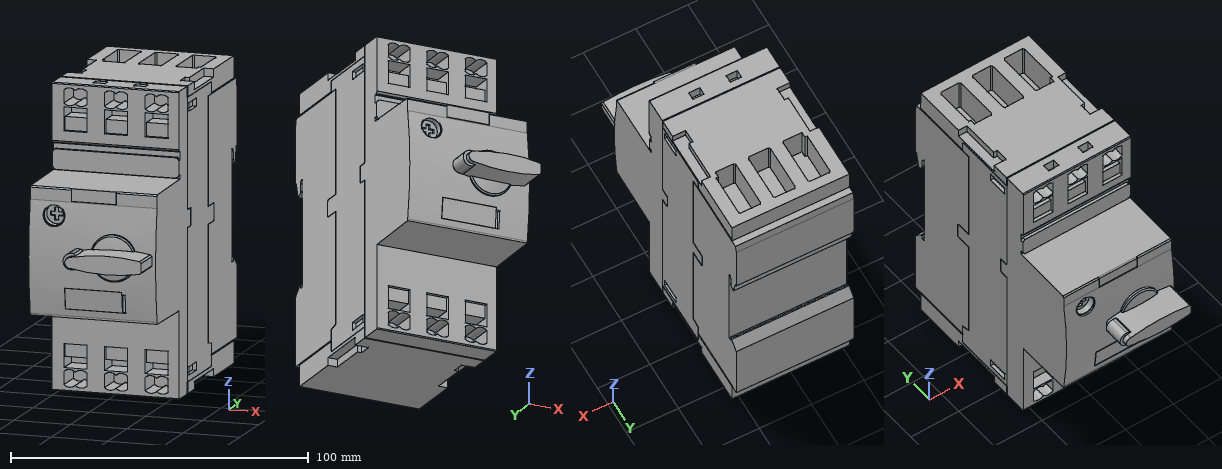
import cadquery as cq
import math


WIDTH = 45.0
HEIGHT = 106.0
TOP = HEIGHT / 2
SIDE = WIDTH / 2
BODY_BACK = 3.1
BODY_FRONT = 61.2
EDGE_CHAMFER = 0.36
SEAM_WIDTH = 0.3
SEAM_DEPTH = 0.15
COVER_SEAM = 51.9
RAIL_BLOCK_TOP = 44.9
RAIL_BLOCK_BOTTOM = -44.8
BLOCK_TAPER_HEIGHT = 2.9
BLOCK_TAPER_DEPTH = 0.6
CHANNEL_TOP = 21.3
CHANNEL_BOTTOM = -17.6
CHANNEL_FLOOR = 5.05
SPRING_HOOK_ROOT = 0.6
SPRING_HOOK_TIP_BACK = 1.9
SPRING_HOOK_TIP_FRONT = 2.4
SPRING_HOOK_TIP = 15.7
SPRING_HOOK_BARB = 4.15
SPRING_HOOK_BARB_LOW = 17.1
SPRING_HOOK_BARB_HIGH = 17.5
SPRING_HOOK_INNER = 3.8
SPRING_HOOK_RELIEF = 20.2
SPRING_HOOK_RELIEF_END = 4.5
FIXED_HOOK_TIP_BACK = 3.3
FIXED_HOOK_TIP_FRONT = 3.8
FIXED_HOOK_ROOT = 4.0
FIXED_HOOK_TIP = -16.3
FIXED_HOOK_BASE = -19.4
CUT_MARGIN = 1.0

GROOVE_TOP = 33.05
GROOVE_LIP = 0.7
GROOVE_LIP_LOW = 32.1
GROOVE_FLOOR = 59.75
PLATE_TOP = 30.1
PLATE_BOTTOM = 23.1
PLATE_FRONT = 60.9
PLATE_CORNER = 0.9

NOSE_TOP = 22.7
NOSE_BOTTOM = -22.5
NOSE_DRAFT = 0.35
NOSE_FRONT = 84.05
NOSE_BULGE = 1.6
NOSE_CHAMFER = 0.5
BAND_BOTTOM = 17.7
CURVE_BOTTOM = -21.5
BADGE_X = 0.15
BADGE_WIDTH = 15.9
BADGE_BOTTOM = 18.0
BADGE_FRONT = NOSE_FRONT + 0.25

SCREW_X = -13.8
SCREW_Z = 12.9
SCREW_RADIUS = 3.8
SCREW_RIM = 0.3
SCREW_FLOOR = 81.9
CROSS_LENGTH = 4.4
CROSS_WIDTH = 1.4
CROSS_DEPTH = 1.0

LABEL_LEFT = -9.85
LABEL_RIGHT = 10.3
LABEL_TOP = -11.8
LABEL_BOTTOM = -19.1
LABEL_RECESS = 0.2
TAB_WIDTH = 1.25
TAB_TOP = -12.7
TAB_FLOOR = 83.5

KNOB_X = 7.65
KNOB_Z = -0.15
KNOB_RADIUS = 8.1
KNOB_BEVEL = 0.5
KNOB_SHOULDER = 86.1
KNOB_CROWN = 87.5
HANDLE_TIP = 96.9
HANDLE_ROOT = 85.0
HANDLE_NOSE_X = -4.0
HANDLE_NOSE_RADIUS = 1.9
HANDLE_END_X = 21.2
HANDLE_END_HALF = 2.2
HANDLE_CORNER = 0.6
HANDLE_WIDEST_X = 9.5
HANDLE_HALF_WIDTH = 3.2
POST_X = -4.3
POST_RADIUS = 2.8
POST_FLAT = 1.0
POST_TAPER = 1.0
POST_BACK = 87.2
POST_FRONT = 95.0

TERMINAL_PITCH = 14.4
TERMINAL_X = 0.25
TERMINAL_WIDTH = 8.1
WINDOW_OUTER = 44.85
WINDOW_STEP = 41.3
WINDOW_INNER = 36.6
WINDOW_RECESS = 1.3
WINDOW_DEPTH = 8.0
ENTRY_INNER = 45.4
ENTRY_OUTER = 51.5
ENTRY_BOW = 0.8
ENTRY_DEPTH = 10.0

SLOT_PITCH = 13.25
SLOT_X = 0.15
SLOT_WIDTH = 8.4
SLOT_BACK = 6.9
SLOT_FRONT = 25.3
SLOT_DEPTH = 12.0
SLOT_CORNER = 0.5
SLOT_KEY_WIDTH = 0.9
SLOT_KEY_LENGTH = 2.1
POCKET_CENTRES = (-7.05, 7.25)
POCKET_WIDTH = 4.2
POCKET_BACK = 54.5
POCKET_FRONT = 57.4
POCKET_DEPTH = 4.0

LATCH_BACK = 24.5
LATCH_STEP = 39.6
LATCH_FRONT = 44.7
LATCH_NARROW = 3.5
LATCH_WIDE = 5.0
LATCH_HEIGHT = 2.8
VENT_BACK = 42.5
VENT_FRONT = 50.4
VENT_INNER = 44.0
VENT_OUTER = 46.8
VENT_DEPTH = 1.5
PANEL_RECESS = 0.1
PANEL_TOP = 49.1
PANEL_BOTTOM = -48.9
PANEL_BACK_OUTER = 26.7
PANEL_BACK = 30.2
PANEL_CHAMFER = 0.5
PANEL_SLOPE_HIGH = -40.1
PANEL_SLOPE_LOW = -40.9
PANEL_TONGUE_BACK = 24.0
PANEL_TONGUE_TOP = 6.9
PANEL_TONGUE_BOTTOM = 0.7
COVER_TONGUE_BACK = 48.4
COVER_TONGUE_TOP = 10.4
COVER_TONGUE_BOTTOM = 4.2


def box(x0, x1, depth0, depth1, z0, z1):
    """Box between two X, two depth and two Z limits."""
    size_x = x1 - x0
    size_y = depth1 - depth0
    size_z = z1 - z0
    corner = cq.Vector(x0, -depth1, z0)
    return cq.Workplane(cq.Solid.makeBox(size_x, size_y, size_z, corner))


def side_profile(points, x0=-SIDE, x1=SIDE):
    """Extrude a (depth, z) polygon from x0 to x1."""
    outline = [(-depth, z) for depth, z in points]
    return cq.Workplane("YZ", origin=(x0, 0, 0)).polyline(outline).close().extrude(x1 - x0)


def front_plane(depth):
    """Sketch plane facing the front, so that extruding goes toward the front."""
    return cq.Workplane("XZ", origin=(0, -depth, 0))


def mirrored_sides(tool):
    return tool.union(tool.mirror("YZ"))


def mirrored_ends(tool):
    return tool.union(tool.mirror("XY"))


def nose_surface(z):
    """Depth of the curved nose front at height z."""
    half_span = (BAND_BOTTOM - CURVE_BOTTOM) / 2
    middle = (BAND_BOTTOM + CURVE_BOTTOM) / 2
    radius = (half_span ** 2 + NOSE_BULGE ** 2) / (2 * NOSE_BULGE)
    centre = NOSE_FRONT + NOSE_BULGE - radius
    return centre + math.sqrt(radius ** 2 - (z - middle) ** 2)


def make_body():
    lip = BODY_FRONT - GROOVE_LIP
    lip_high = GROOVE_TOP - GROOVE_LIP
    return side_profile([
        (BODY_BACK, -TOP),
        (BODY_FRONT - EDGE_CHAMFER, -TOP),
        (BODY_FRONT, -TOP + EDGE_CHAMFER),
        (BODY_FRONT, NOSE_BOTTOM),
        (GROOVE_FLOOR, NOSE_BOTTOM),
        (GROOVE_FLOOR, GROOVE_LIP_LOW),
        (lip, GROOVE_LIP_LOW),
        (lip, lip_high),
        (BODY_FRONT, GROOVE_TOP),
        (BODY_FRONT, TOP - EDGE_CHAMFER),
        (BODY_FRONT - EDGE_CHAMFER, TOP),
        (BODY_BACK, TOP),
    ])


def make_rail_block():
    return side_profile([
        (PANEL_BACK, RAIL_BLOCK_BOTTOM),
        (0, RAIL_BLOCK_BOTTOM),
        (0, RAIL_BLOCK_TOP - BLOCK_TAPER_HEIGHT),
        (BLOCK_TAPER_DEPTH, RAIL_BLOCK_TOP),
        (PANEL_BACK, RAIL_BLOCK_TOP),
    ])


def rail_cutter():
    """Rail channel, leaving a slender spring hook above and a fixed slanted hook below."""
    return side_profile([
        (-CUT_MARGIN, CHANNEL_TOP),
        (SPRING_HOOK_ROOT, CHANNEL_TOP),
        (SPRING_HOOK_TIP_BACK, SPRING_HOOK_TIP),
        (SPRING_HOOK_TIP_FRONT, SPRING_HOOK_TIP),
        (SPRING_HOOK_BARB, SPRING_HOOK_BARB_LOW),
        (SPRING_HOOK_INNER, SPRING_HOOK_BARB_HIGH),
        (SPRING_HOOK_INNER, SPRING_HOOK_RELIEF),
        (SPRING_HOOK_RELIEF_END, CHANNEL_TOP),
        (CHANNEL_FLOOR, CHANNEL_TOP),
        (CHANNEL_FLOOR, CHANNEL_BOTTOM),
        (FIXED_HOOK_ROOT, CHANNEL_BOTTOM),
        (FIXED_HOOK_TIP_FRONT, FIXED_HOOK_TIP),
        (FIXED_HOOK_TIP_BACK, FIXED_HOOK_TIP),
        (0, FIXED_HOOK_BASE),
        (-CUT_MARGIN, FIXED_HOOK_BASE),
    ])


def make_plate():
    plate = box(-SIDE, SIDE, GROOVE_FLOOR - CUT_MARGIN, PLATE_FRONT, PLATE_BOTTOM, PLATE_TOP)
    return plate.edges("|Y").chamfer(PLATE_CORNER)


def make_nose():
    front_top = NOSE_TOP - NOSE_DRAFT
    front_bottom = NOSE_BOTTOM + NOSE_DRAFT
    curve_middle = (BAND_BOTTOM + CURVE_BOTTOM) / 2
    nose = (
        cq.Workplane("YZ", origin=(-SIDE, 0, 0))
        .moveTo(-COVER_SEAM, NOSE_BOTTOM)
        .lineTo(-COVER_SEAM, NOSE_TOP)
        .lineTo(-GROOVE_FLOOR, NOSE_TOP)
        .lineTo(-NOSE_FRONT + NOSE_CHAMFER, front_top)
        .lineTo(-NOSE_FRONT, front_top - NOSE_CHAMFER)
        .lineTo(-NOSE_FRONT, BAND_BOTTOM)
        .threePointArc((-NOSE_FRONT - NOSE_BULGE, curve_middle), (-NOSE_FRONT, CURVE_BOTTOM))
        .lineTo(-NOSE_FRONT, front_bottom)
        .lineTo(-BODY_FRONT, NOSE_BOTTOM)
        .close()
        .extrude(WIDTH)
    )
    badge_left = BADGE_X - BADGE_WIDTH / 2
    badge_right = BADGE_X + BADGE_WIDTH / 2
    badge = box(badge_left, badge_right, NOSE_FRONT - CUT_MARGIN, BADGE_FRONT, BADGE_BOTTOM, front_top)
    return nose.union(badge)


def screw_cutter():
    """Round well with a bevelled mouth and a cross slot in its floor."""
    mouth = nose_surface(SCREW_Z)
    well = front_plane(SCREW_FLOOR).center(SCREW_X, SCREW_Z)
    cutter = well.circle(SCREW_RADIUS - SCREW_RIM).extrude(mouth - SCREW_FLOOR + CUT_MARGIN)
    rim_plane = front_plane(mouth - SCREW_RIM).center(SCREW_X, SCREW_Z)
    cutter = cutter.union(rim_plane.circle(SCREW_RADIUS).extrude(CUT_MARGIN))
    slots = front_plane(SCREW_FLOOR - CROSS_DEPTH).center(SCREW_X, SCREW_Z)
    for length_x, length_z in ((CROSS_LENGTH, CROSS_WIDTH), (CROSS_WIDTH, CROSS_LENGTH)):
        cutter = cutter.union(slots.rect(length_x, length_z).extrude(CROSS_DEPTH + CUT_MARGIN))
    return cutter


def label_cutter():
    """Shallow window that follows the nose front, with a deeper finger gap on its right."""
    outside = NOSE_FRONT + NOSE_BULGE + CUT_MARGIN
    window = side_profile([
        (nose_surface(LABEL_TOP) - LABEL_RECESS, LABEL_TOP),
        (outside, LABEL_TOP),
        (outside, LABEL_BOTTOM),
        (nose_surface(LABEL_BOTTOM) - LABEL_RECESS, LABEL_BOTTOM),
    ], LABEL_LEFT, LABEL_RIGHT)
    gap = box(LABEL_RIGHT, LABEL_RIGHT + TAB_WIDTH, TAB_FLOOR, outside, LABEL_BOTTOM, TAB_TOP)
    return window.union(gap)


def make_knob():
    """Bevelled disc with a domed face; the dome rises three quarters of its height by half radius."""
    shoulder_radius = KNOB_RADIUS - KNOB_BEVEL
    bevel_top = KNOB_SHOULDER + KNOB_BEVEL
    crown_middle = bevel_top + (KNOB_CROWN - bevel_top) * 0.75
    return (
        cq.Workplane("XY", origin=(KNOB_X, 0, KNOB_Z))
        .moveTo(0, -NOSE_FRONT)
        .lineTo(KNOB_RADIUS, -NOSE_FRONT)
        .lineTo(KNOB_RADIUS, -KNOB_SHOULDER)
        .lineTo(shoulder_radius, -bevel_top)
        .threePointArc((shoulder_radius / 2, -crown_middle), (0, -KNOB_CROWN))
        .close()
        .revolve(360, (0, 0, 0), (0, 1, 0))
    )


def make_handle():
    end_inner = HANDLE_END_X - HANDLE_CORNER
    end_low = HANDLE_END_HALF - HANDLE_CORNER
    lever = (
        front_plane(HANDLE_ROOT)
        .center(0, KNOB_Z)
        .moveTo(HANDLE_NOSE_X, HANDLE_NOSE_RADIUS)
        .threePointArc((HANDLE_WIDEST_X, HANDLE_HALF_WIDTH), (end_inner, HANDLE_END_HALF))
        .lineTo(HANDLE_END_X, end_low)
        .lineTo(HANDLE_END_X, -end_low)
        .lineTo(end_inner, -HANDLE_END_HALF)
        .threePointArc((HANDLE_WIDEST_X, -HANDLE_HALF_WIDTH), (HANDLE_NOSE_X, -HANDLE_NOSE_RADIUS))
        .threePointArc((HANDLE_NOSE_X - HANDLE_NOSE_RADIUS, 0), (HANDLE_NOSE_X, HANDLE_NOSE_RADIUS))
        .close()
        .extrude(HANDLE_TIP - HANDLE_ROOT)
    )
    flat_end = POST_X + POST_FLAT
    post_end = flat_end + POST_TAPER
    post = (
        front_plane(POST_BACK)
        .center(0, KNOB_Z)
        .moveTo(post_end, HANDLE_NOSE_RADIUS)
        .lineTo(flat_end, POST_RADIUS)
        .lineTo(POST_X, POST_RADIUS)
        .threePointArc((POST_X - POST_RADIUS, 0), (POST_X, -POST_RADIUS))
        .lineTo(flat_end, -POST_RADIUS)
        .lineTo(post_end, -HANDLE_NOSE_RADIUS)
        .close()
        .extrude(POST_FRONT - POST_BACK)
    )
    return lever.union(post)


def terminal_cutter(x):
    """Stepped screwdriver window and a double-lobed wire entry, at the top and bottom ends."""
    left = x - TERMINAL_WIDTH / 2
    right = x + TERMINAL_WIDTH / 2
    outside = BODY_FRONT + CUT_MARGIN
    cutter = box(left, right, BODY_FRONT - WINDOW_RECESS, outside, WINDOW_INNER, WINDOW_OUTER)
    cutter = cutter.union(
        box(left, right, BODY_FRONT - WINDOW_DEPTH, outside, WINDOW_STEP, WINDOW_OUTER)
    )
    low = ENTRY_INNER + ENTRY_BOW
    high = ENTRY_OUTER - ENTRY_BOW
    quarter = TERMINAL_WIDTH / 4
    entry = (
        front_plane(BODY_FRONT - ENTRY_DEPTH)
        .moveTo(left, low)
        .threePointArc((x - quarter, ENTRY_INNER), (x, low))
        .threePointArc((x + quarter, ENTRY_INNER), (right, low))
        .lineTo(right, high)
        .threePointArc((x + quarter, ENTRY_OUTER), (x, high))
        .threePointArc((x - quarter, ENTRY_OUTER), (left, high))
        .close()
        .extrude(ENTRY_DEPTH + CUT_MARGIN)
    )
    return mirrored_ends(cutter.union(entry))


def top_slot_cutter(index):
    """Deep slot; the outer two have a stepped front corner on their outer side."""
    x = SLOT_X + index * SLOT_PITCH
    left = x - SLOT_WIDTH / 2
    right = x + SLOT_WIDTH / 2
    bottom = TOP - SLOT_DEPTH
    slot = box(left, right, SLOT_BACK, SLOT_FRONT, bottom, TOP + CUT_MARGIN)
    slot = slot.edges("|Z").chamfer(SLOT_CORNER)
    if index != 0:
        key_left = left if index < 0 else right - SLOT_KEY_WIDTH
        key_back = SLOT_FRONT - SLOT_KEY_LENGTH
        key = box(
            key_left, key_left + SLOT_KEY_WIDTH, key_back, SLOT_FRONT, bottom, TOP + CUT_MARGIN
        )
        slot = slot.cut(key)
    return slot


def top_pocket_cutter(x):
    half = POCKET_WIDTH / 2
    return box(x - half, x + half, POCKET_BACK, POCKET_FRONT, TOP - POCKET_DEPTH, TOP + CUT_MARGIN)


def latch_cutter():
    """L-shaped notches at the four side corners of the top and bottom."""
    floor = TOP - LATCH_HEIGHT
    outside = -SIDE - CUT_MARGIN
    above = TOP + CUT_MARGIN
    notch = box(outside, -SIDE + LATCH_NARROW, LATCH_BACK, LATCH_FRONT, floor, above)
    notch = notch.union(box(outside, -SIDE + LATCH_WIDE, LATCH_STEP, LATCH_FRONT, floor, above))
    return mirrored_sides(mirrored_ends(notch))


def vent_cutter():
    outside = -SIDE - CUT_MARGIN
    vent = box(outside, -SIDE + VENT_DEPTH, VENT_BACK, VENT_FRONT, VENT_INNER, VENT_OUTER)
    return mirrored_sides(mirrored_ends(vent))


def panel_cutter():
    """Slightly sunk middle panel, with a tongue into the rail block and a notch for the cover."""
    panel = side_profile([
        (COVER_SEAM, PANEL_TOP),
        (PANEL_BACK_OUTER + PANEL_CHAMFER, PANEL_TOP),
        (PANEL_BACK_OUTER, PANEL_TOP - PANEL_CHAMFER),
        (PANEL_BACK_OUTER, RAIL_BLOCK_TOP),
        (PANEL_BACK, RAIL_BLOCK_TOP),
        (PANEL_BACK, PANEL_TONGUE_TOP),
        (PANEL_TONGUE_BACK + PANEL_CHAMFER, PANEL_TONGUE_TOP),
        (PANEL_TONGUE_BACK, PANEL_TONGUE_TOP - PANEL_CHAMFER),
        (PANEL_TONGUE_BACK, PANEL_TONGUE_BOTTOM + PANEL_CHAMFER),
        (PANEL_TONGUE_BACK + PANEL_CHAMFER, PANEL_TONGUE_BOTTOM),
        (PANEL_BACK, PANEL_TONGUE_BOTTOM),
        (PANEL_BACK, PANEL_SLOPE_HIGH),
        (PANEL_BACK_OUTER, PANEL_SLOPE_LOW),
        (PANEL_BACK_OUTER, PANEL_BOTTOM + PANEL_CHAMFER),
        (PANEL_BACK_OUTER + PANEL_CHAMFER, PANEL_BOTTOM),
        (COVER_SEAM, PANEL_BOTTOM),
        (COVER_SEAM, COVER_TONGUE_BOTTOM),
        (COVER_TONGUE_BACK + PANEL_CHAMFER, COVER_TONGUE_BOTTOM),
        (COVER_TONGUE_BACK, COVER_TONGUE_BOTTOM + PANEL_CHAMFER),
        (COVER_TONGUE_BACK, COVER_TONGUE_TOP),
        (COVER_SEAM - PANEL_CHAMFER, COVER_TONGUE_TOP),
        (COVER_SEAM, COVER_TONGUE_TOP + PANEL_CHAMFER),
    ], -SIDE - CUT_MARGIN, -SIDE + PANEL_RECESS)
    return mirrored_sides(panel)


def seam_cutter():
    """Shallow seams: around the front cover's back edge, and above and below the rail block."""
    cover_back = COVER_SEAM - SEAM_WIDTH
    outside = SIDE + CUT_MARGIN
    cover = mirrored_ends(
        box(-outside, outside, cover_back, COVER_SEAM, TOP - SEAM_DEPTH, TOP + CUT_MARGIN)
    )
    cover_side = mirrored_ends(
        box(-outside, -SIDE + SEAM_DEPTH, cover_back, COVER_SEAM, PANEL_TOP, TOP + CUT_MARGIN)
    )
    seams = cover.union(mirrored_sides(cover_side))
    for low in (RAIL_BLOCK_TOP, RAIL_BLOCK_BOTTOM - SEAM_WIDTH):
        rail = box(
            -outside, -SIDE + SEAM_DEPTH,
            BODY_BACK - CUT_MARGIN, PANEL_BACK_OUTER, low, low + SEAM_WIDTH,
        )
        seams = seams.union(mirrored_sides(rail))
    return seams


part = make_body().union(make_rail_block()).cut(rail_cutter())
part = part.union(make_plate()).union(make_nose())
part = part.cut(screw_cutter()).cut(label_cutter())
part = part.union(make_knob()).union(make_handle())
part = part.cut(panel_cutter()).cut(seam_cutter())
part = part.cut(latch_cutter()).cut(vent_cutter())
for position in (-1, 0, 1):
    part = part.cut(terminal_cutter(TERMINAL_X + position * TERMINAL_PITCH))
    part = part.cut(top_slot_cutter(position))
for pocket_x in POCKET_CENTRES:
    part = part.cut(top_pocket_cutter(pocket_x))
result = part